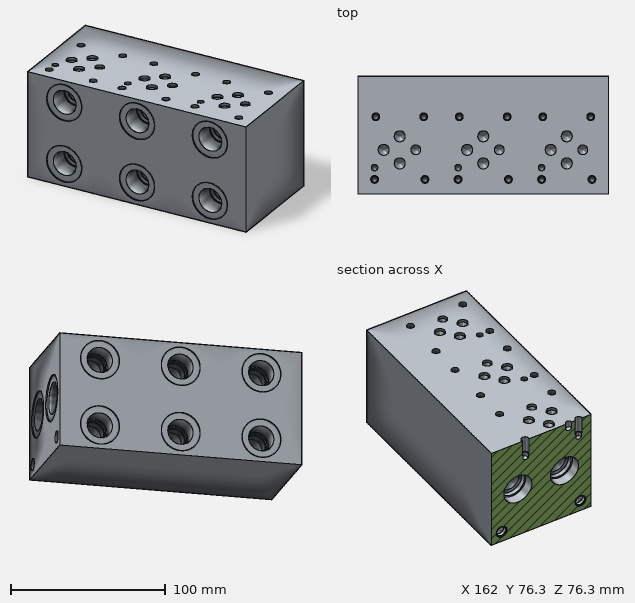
import cadquery as cq
import math

length = 162.0
side = 76.3
half_length = length / 2
half_side = side / 2

drill_half_angle = math.radians(59)

station_pitch = length / 3
station_xs = [-station_pitch, 0, station_pitch]

work_port_z = 22.2
work_spotface_diameter = 25.9
work_thread_diameter = 16.8
work_drill_diameter = 15.0
work_passage_diameter = 14.2
work_spotface_depth = 0.8
work_thread_depth = 14.5
work_drill_depth = 17.8
work_passage_depth = 25.9

main_port_y = 17.8
main_spotface_diameter = 30.6
main_thread_diameter = 21.0
main_drill_diameter = 19.0
main_passage_diameter = 15.9
main_spotface_depth = 0.8
main_thread_depth = 17.8
main_drill_depth = 21.0
main_passage_depth = 32.4

mount_offset = 30.1
mount_thread_diameter = 8.0
mount_drill_diameter = 6.8
mount_thread_depth = 11.3
mount_drill_depth = 13.8

bolt_thread_diameter = 5.0
bolt_drill_diameter = 3.9
bolt_thread_depth = 12.1
bolt_drill_depth = 15.4
rear_bolt_spacing = 31.0
front_bolt_spacing = 32.5
rear_bolt_y = 11.8
front_bolt_y = -28.7

pin_diameter = 4.2
pin_depth = 4.9
pin_y = -21.0

oil_hole_diameter = 7.1
small_oil_hole_diameter = 6.3
oil_hole_depth = 2.1
oil_hole_x = 10.4
oil_hole_y = 8.7
oil_center_y = -9.5

inward_from_front = (0, 1, 0)
inward_from_end = (1, 0, 0)
inward_from_top = (0, 0, -1)


def straight_step(diameter, depth):
    """Flat-bottomed cutter running along +Z from the origin."""
    return cq.Workplane("XY").circle(diameter / 2).extrude(depth)


def drilled_step(diameter, depth):
    """Cutter along +Z from the origin: full diameter to the depth, then a drill point."""
    radius = diameter / 2
    tip = depth + radius / math.tan(drill_half_angle)
    outline = cq.Workplane("XZ").polyline([(0, 0), (radius, 0), (radius, depth), (0, tip)]).close()
    return outline.revolve(360, (0, 0, 0), (0, 1, 0))


def threaded_hole(thread_diameter, thread_depth, drill_diameter, drill_depth):
    """Thread-size bore stepping down to a deeper pointed tap drill."""
    return straight_step(thread_diameter, thread_depth).union(drilled_step(drill_diameter, drill_depth))


def cut_at(body, cutter, plane_normal, points):
    """Cut copies of a +Z cutter whose mouths sit at the points, turned to bore along plane_normal."""
    for point in points:
        plane = cq.Plane(origin=point, normal=plane_normal)
        body = body.cut(cq.Workplane(obj=cutter.val().moved(cq.Location(plane))))
    return body


def add_work_ports(body):
    cutter = (
        threaded_hole(work_thread_diameter, work_thread_depth, work_drill_diameter, work_drill_depth)
        .union(straight_step(work_spotface_diameter, work_spotface_depth))
        .union(drilled_step(work_passage_diameter, work_passage_depth))
    )
    points = [(x, -half_side, z) for x in station_xs for z in (work_port_z, -work_port_z)]
    return cut_at(body, cutter, inward_from_front, points)


def add_main_ports(body):
    cutter = (
        threaded_hole(main_thread_diameter, main_thread_depth, main_drill_diameter, main_drill_depth)
        .union(straight_step(main_spotface_diameter, main_spotface_depth))
        .union(drilled_step(main_passage_diameter, main_passage_depth))
    )
    points = [(-half_length, y, 0) for y in (main_port_y, -main_port_y)]
    return cut_at(body, cutter, inward_from_end, points)


def add_mounting_holes(body):
    cutter = threaded_hole(
        mount_thread_diameter, mount_thread_depth, mount_drill_diameter, mount_drill_depth
    )
    points = [(-half_length, y, -mount_offset) for y in (mount_offset, -mount_offset)]
    return cut_at(body, cutter, inward_from_end, points)


def add_valve_station(body, station_x):
    """Bolt holes, locating pin hole and four oil holes of one valve."""

    def on_top(x, y):
        return (station_x + x, y, half_side)

    bolt = threaded_hole(bolt_thread_diameter, bolt_thread_depth, bolt_drill_diameter, bolt_drill_depth)
    bolt_points = []
    for spacing, y in ((rear_bolt_spacing, rear_bolt_y), (front_bolt_spacing, front_bolt_y)):
        bolt_points += [on_top(-spacing / 2, y), on_top(spacing / 2, y)]
    body = cut_at(body, bolt, inward_from_top, bolt_points)

    pin = drilled_step(pin_diameter, pin_depth)
    body = cut_at(body, pin, inward_from_top, [on_top(-front_bolt_spacing / 2, pin_y)])

    oil_hole = drilled_step(oil_hole_diameter, oil_hole_depth)
    oil_points = [
        on_top(-oil_hole_x, oil_center_y),
        on_top(0, oil_center_y + oil_hole_y),
        on_top(0, oil_center_y - oil_hole_y),
    ]
    body = cut_at(body, oil_hole, inward_from_top, oil_points)

    small_oil_hole = drilled_step(small_oil_hole_diameter, oil_hole_depth)
    return cut_at(body, small_oil_hole, inward_from_top, [on_top(oil_hole_x, oil_center_y)])


result = cq.Workplane("XY").box(length, side, side)
result = add_work_ports(result)
result = add_main_ports(result)
result = add_mounting_holes(result)
for station_x in station_xs:
    result = add_valve_station(result, station_x)